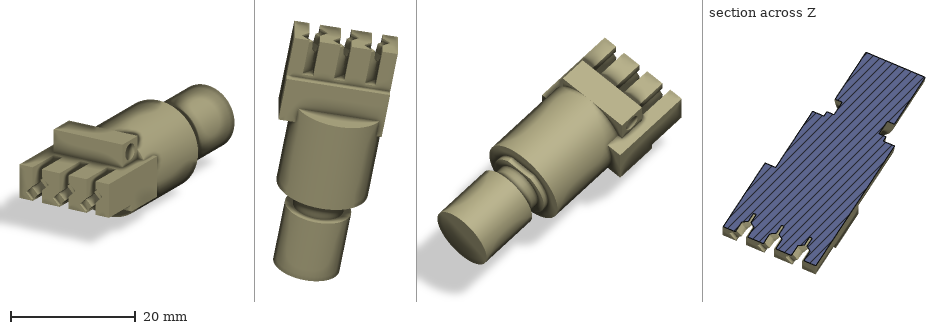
import cadquery as cq
import math


overall_length = 41.65
barrel_diameter = 14.95
barrel_radius = barrel_diameter / 2
barrel_start = 12.0
barrel_end = 27.2
flange_end = 28.2
flange_flat_height = 4.85
neck_radius = 4.12
neck_end = 30.95
knob_radius = 5.4

socket_width = 16.87
socket_height = 6.95
socket_half_height = socket_height / 2
socket_right = barrel_radius
socket_left = socket_right - socket_width
socket_center = (socket_left + socket_right) / 2
socket_back = 14.5
side_tab_back = 14.75
underside_step_y = 6.95
underside_step_z = -2.3

block_left = -barrel_radius
block_right = 5.5
block_front = 7.35
block_hole_diameter = 2.85

slot_count = 3
slot_pitch = 5.1
slot_width = 1.7
slot_depth = 6.35
contact_length = 4.45
contact_thickness = 1.55
contact_angle = 45.0
contact_front = 0.6
slit_half_width = 0.145
slit_end = 4.62
slit_mouth = 2.85
throat_half_width = 0.87
throat_start = slit_mouth - (throat_half_width - slit_half_width)
fork_mouth_half_width = 1.1


def box_between(x_range, y_range, z_range):
    """Axis-aligned box given its limits on each axis."""
    size = [high - low for low, high in (x_range, y_range, z_range)]
    corner = (x_range[0], y_range[0], z_range[0])
    return cq.Workplane("XY").box(*size, centered=False).translate(corner)


def disc(radius, y_start, y_end):
    """Cylinder on the barrel axis between two Y positions."""
    plane = cq.Workplane("XZ", origin=(0, y_end, 0))
    return plane.circle(radius).extrude(y_end - y_start)


def make_turned_body():
    """Barrel, flatted flange, neck and knob on one axis."""
    flats = box_between(
        (-knob_radius, knob_radius),
        (barrel_end, flange_end),
        (-flange_flat_height, flange_flat_height),
    )
    flange = disc(knob_radius, barrel_end, flange_end).intersect(flats)
    body = disc(barrel_radius, barrel_start, barrel_end).union(flange)
    body = body.union(disc(neck_radius, flange_end, neck_end))
    return body.union(disc(knob_radius, neck_end, overall_length))


def make_socket():
    """Socket housing with its raised front underside and longer right edge."""
    full_height = (-socket_half_height, socket_half_height)
    housing = box_between((socket_left, socket_right), (0, socket_back), full_height)
    relief = box_between(
        (socket_left, socket_right),
        (0, underside_step_y),
        (-socket_half_height, underside_step_z),
    )
    tab_left = math.sqrt(barrel_radius**2 - socket_half_height**2)
    tab = box_between((tab_left, socket_right), (barrel_start, side_tab_back), full_height)
    return housing.cut(relief).union(tab)


def make_block():
    """Block on top of the socket with a hole through it along X."""
    block = box_between(
        (block_left, block_right),
        (block_front, barrel_start),
        (socket_half_height, barrel_radius),
    )
    return block.faces("<X").workplane(centerOption="CenterOfBoundBox").hole(block_hole_diameter)


def place_contact(shape, slot_x):
    """Tilt a shape about the Y direction and move it to its slot."""
    return shape.rotate((0, 0, 0), (0, 1, 0), -contact_angle).translate((slot_x, 0, 0))


def make_contact():
    """Forked contact: a narrow slit that opens through a V to a tapered mouth."""
    half_length = contact_length / 2
    plate = box_between(
        (-half_length, half_length),
        (contact_front, slot_depth),
        (-contact_thickness / 2, contact_thickness / 2),
    )
    right_side = [
        (fork_mouth_half_width, contact_front),
        (throat_half_width, throat_start),
        (slit_half_width, slit_mouth),
        (slit_half_width, slit_end),
    ]
    left_side = [(-x, y) for x, y in reversed(right_side)]
    gap = cq.Workplane("XY").polyline(right_side + left_side).close()
    return plate.cut(gap.extrude(contact_thickness, both=True))


result = make_turned_body().union(make_socket()).union(make_block())

contact_seat = box_between(
    (-contact_length / 2, contact_length / 2),
    (0, slot_depth),
    (-contact_thickness / 2, contact_thickness / 2),
)
contact = make_contact()

for index in range(slot_count):
    slot_x = socket_center + (index - (slot_count - 1) / 2) * slot_pitch
    slot = box_between(
        (slot_x - slot_width / 2, slot_x + slot_width / 2),
        (0, slot_depth),
        (-socket_half_height, socket_half_height),
    )
    result = result.cut(slot).cut(place_contact(contact_seat, slot_x))
    result = result.union(place_contact(contact, slot_x))